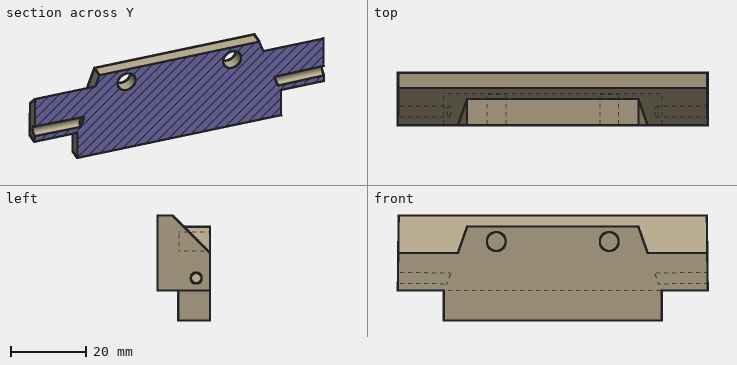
import cadquery as cq

length = 82.5
end_draft = 0.25
depth = 14.0
height = 28.0
top_land = 4.05
bevel = depth - top_land

tab_length = 58.1
tab_depth = 8.5
tab_height = 8.0

pad_top_z = 25.0
pad_top_length = 45.5
pad_base_length = 50.5

front_hole_diameter = 5.0
front_hole_spacing = 30.0
front_hole_z = 21.0
front_hole_depth = 8.25

end_hole_diameter = 2.9
end_hole_y = 3.7
end_hole_z = 11.4

bevel_start_z = height - bevel
flank_slope = (pad_base_length - pad_top_length) / 2 / (pad_top_z - bevel_start_z)
end_slope = end_draft / (height - tab_height)


def make_bar():
    """Bevelled bar, extruded along X and trimmed to its leaning ends."""
    profile = [
        (0, tab_height),
        (depth, tab_height),
        (depth, height),
        (bevel, height),
        (0, bevel_start_z),
    ]
    bar = cq.Workplane("YZ").polyline(profile).close().extrude(length / 2, both=True)
    front_outline = [
        (-length / 2, tab_height),
        (length / 2, tab_height),
        (length / 2 - end_draft, height),
        (-length / 2 + end_draft, height),
    ]
    return bar.intersect(cq.Workplane("XZ").polyline(front_outline).close().extrude(-depth))


def make_tab():
    """Shorter block under the bar, flush with its front face."""
    return cq.Workplane("XY").box(
        tab_length, tab_depth, tab_height, centered=(True, False, False)
    )


def make_pad():
    """Trapezoidal pad running from the front face back into the bevel."""
    pad_depth = pad_top_z - bevel_start_z
    outline = [
        (-pad_base_length / 2, bevel_start_z),
        (pad_base_length / 2, bevel_start_z),
        (pad_top_length / 2, pad_top_z),
        (-pad_top_length / 2, pad_top_z),
    ]
    return cq.Workplane("XZ").polyline(outline).close().extrude(-pad_depth)


def make_front_hole(side):
    """Flat-bottomed hole entering the front of the pad."""
    return (
        cq.Workplane("XZ")
        .center(side * front_hole_spacing / 2, front_hole_z)
        .circle(front_hole_diameter / 2)
        .extrude(-front_hole_depth)
    )


def make_end_hole(side):
    """Hole running inwards from one end to a floor in the plane of the pad flank."""
    mouth_x = length / 2 - end_slope * (end_hole_z - tab_height)
    mouth = cq.Vector(side * mouth_x, end_hole_y, end_hole_z)
    inwards = cq.Vector(-side, 0, -end_slope).normalized()
    start = mouth - inwards * end_hole_diameter
    drill = cq.Solid.makeCylinder(end_hole_diameter / 2, length / 2, start, inwards)

    flank_foot_x = pad_base_length / 2 + flank_slope * (bevel_start_z - tab_height)
    outside_flank = [
        (side * flank_foot_x, tab_height),
        (side * length, tab_height),
        (side * length, bevel_start_z),
        (side * pad_base_length / 2, bevel_start_z),
    ]
    limit = cq.Workplane("XZ").polyline(outside_flank).close().extrude(-depth)
    return cq.Workplane(drill).intersect(limit)


result = make_bar().union(make_tab()).union(make_pad())

for side in (-1, 1):
    result = result.cut(make_front_hole(side)).cut(make_end_hole(side))